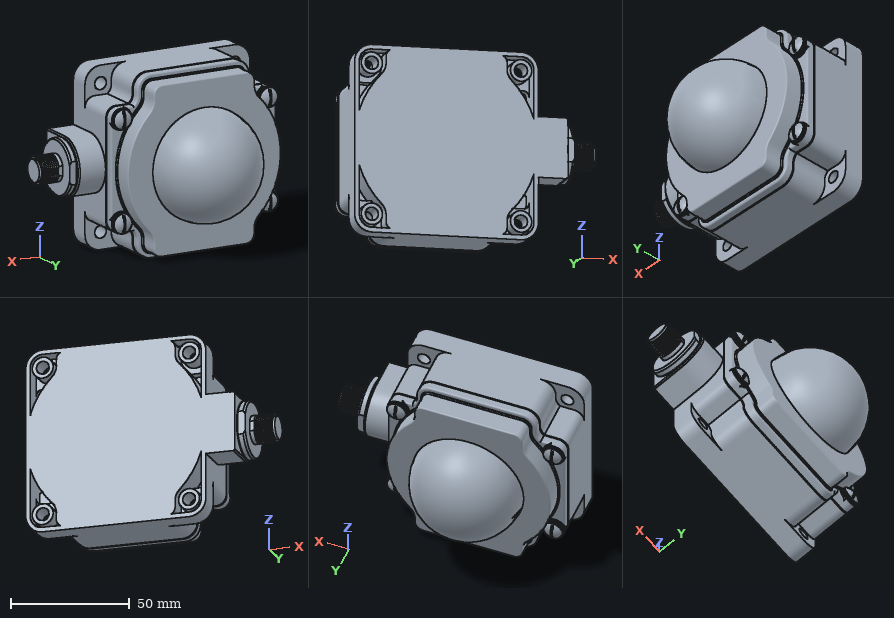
import cadquery as cq
import math

FLANGE_TOP = 10.0
SEAM_LEVEL = 27.9
COVER_TOP = 32.2
PLATE_TOP = 41.5

WIDTH = 80.0
HEIGHT = 80.8
FLANGE_CORNER = 7.5
HOLE_X = WIDTH / 2 - FLANGE_CORNER
HOLE_Z = HOLE_X
HOLE_DIAMETER = 5.6
HOLE_BOSS_DIAMETER = 9.3
HOLE_BOSS_RECESS = 0.2
WALL = 2.0

BLOCK_WIDTH = 54.4
BLOCK_CORNER = 6.8
NOTCH_RADIUS = 5.0
EAR_RADIUS = 4.6
EAR_Z = 22.8
EAR_X = WIDTH / 2 - EAR_RADIUS
COVER_ROUNDING = 0.9
SEAM_WIDTH = 0.3
SEAM_DEPTH = 0.2

PLATE_INSET = 2.8
PLATE_ROUNDING = 0.6
PLATE_FOOT = 0.6
PLATE_FOOT_LIP = 0.1
DEPTH = 66.6
DOME_RADIUS = DEPTH - PLATE_TOP

SCREW_PAD_TOP = COVER_TOP + PLATE_FOOT
SCREW_WASHER_TOP = 33.6
SCREW_RIM_TOP = 34.3
SCREW_STEP = 0.1
SCREW_PAD_RADIUS = EAR_RADIUS + 0.3
SCREW_HEAD_RADIUS = EAR_RADIUS - 2 * SCREW_STEP
SCREW_HEAD_TOP = 36.0
SCREW_SLOT_WIDTH = 0.9
SCREW_SLOT_DEPTH = 1.2

POCKET_DEPTH = FLANGE_TOP - WALL
POCKET_RELIEF = 6.1
POCKET_ARC_RADIUS = math.hypot(HOLE_X, HOLE_Z) - POCKET_RELIEF
POCKET_FLARE_RADIUS = 3.2
EAR_CAVITY_DEPTH = SEAM_LEVEL - WALL
SCREW_COLUMN_START = 12.9

OUTLET_AXIS_Y = 14.4
OUTLET_RADIUS = 13.1
OUTLET_END = 52.9
OUTLET_CHAMFER = 0.6
WASHER_END = OUTLET_END + 0.3
WASHER_RADIUS = 12.2
NUT_END = 56.6
NUT_RADIUS = 12.6
NUT_ACROSS_FLATS = 23.0
NUT_CHAMFER_LENGTH = 1.0
NUT_CHAMFER_HEIGHT = 0.5
THREAD_START = 58.5
THREAD_END = 66.4
THREAD_RADIUS = 6.1
THREAD_ROOT_RADIUS = 5.4
THREAD_TURNS = 8
THREAD_ACROSS_FLATS = 11.5
TIP_RADIUS = 5.1
LENGTH = 107.6
TIP_END = LENGTH - WIDTH / 2

SIGNS = [(sx, sz) for sx in (-1, 1) for sz in (-1, 1)]


def plane_at(y):
    """Workplane facing -Y at level y; its local axes are X and Z."""
    return cq.Workplane("XZ", origin=(0, y, 0))


def polar(x, z, radius, angle):
    """Point at the given radius and angle about a centre."""
    return (x + radius * math.cos(angle), z + radius * math.sin(angle))


def cylinder(x, z, radius, y_start, y_end):
    return plane_at(y_start).center(x, z).circle(radius).extrude(y_start - y_end)


def rounded_block(width, height, radius, y_start, y_end):
    block = plane_at(y_start).rect(width, height).extrude(y_start - y_end)
    return block.edges("|Y").fillet(radius)


def lobed_slab(inset, y_start, y_end):
    """Rounded block crossed by a disc, with the four inner corners rounded."""
    half_width = BLOCK_WIDTH / 2 - inset
    disc_radius = WIDTH / 2 - inset
    slab = rounded_block(2 * half_width, HEIGHT - 2 * inset, BLOCK_CORNER - inset, y_start, y_end)
    slab = slab.union(cylinder(0, 0, disc_radius, y_start, y_end))
    corner_z = math.sqrt(disc_radius**2 - half_width**2)
    middle = (y_start + y_end) / 2
    for sx, sz in SIGNS:
        corner = cq.NearestToPointSelector((sx * half_width, middle, sz * corner_z))
        slab = slab.edges("|Y").edges(corner).fillet(NOTCH_RADIUS + inset)
    return slab


def ear_block(inset, y_start, y_end):
    height = 2 * (EAR_Z + EAR_RADIUS - inset)
    return rounded_block(WIDTH - 2 * inset, height, EAR_RADIUS - inset, y_start, y_end)


def body_slab(inset, y_start, y_end):
    return lobed_slab(inset, y_start, y_end).union(ear_block(inset, y_start, y_end))


def make_housing():
    flange = rounded_block(WIDTH, HEIGHT, FLANGE_CORNER, 0, FLANGE_TOP)
    lower = body_slab(0, FLANGE_TOP, SEAM_LEVEL)
    cover = body_slab(0, SEAM_LEVEL, COVER_TOP).faces(">Y").edges().fillet(COVER_ROUNDING)
    return flange.union(lower).union(cover)


def plate_foot():
    """Sloped skirt around the root of the lens plate."""
    foot_top = COVER_TOP + PLATE_FOOT
    skirt = lobed_slab(PLATE_INSET - PLATE_FOOT, COVER_TOP, foot_top)
    return skirt.faces(">Y").edges().chamfer(PLATE_FOOT - PLATE_FOOT_LIP)


def seam_groove():
    seam_end = SEAM_LEVEL + SEAM_WIDTH
    layer = body_slab(0, SEAM_LEVEL, seam_end)
    return layer.cut(body_slab(SEAM_DEPTH, SEAM_LEVEL, seam_end))


def make_lens():
    plate = lobed_slab(PLATE_INSET, COVER_TOP, PLATE_TOP).faces(">Y").edges().fillet(PLATE_ROUNDING)
    dome = cq.Workplane("XY").sphere(DOME_RADIUS).translate((0, PLATE_TOP, 0))
    return plate.union(dome)


def make_screw(x, z):
    """Round pad on a cover ear, carrying a washer and a slotted domed screw head."""
    base = SEAM_LEVEL + SEAM_WIDTH
    washer_radius = SCREW_HEAD_RADIUS + SCREW_STEP
    dome_rise = SCREW_HEAD_TOP - SCREW_RIM_TOP
    sphere_radius = (SCREW_HEAD_RADIUS**2 + dome_rise**2) / (2 * dome_rise)
    dome_half_angle = math.asin(SCREW_HEAD_RADIUS / sphere_radius) / 2
    dome_middle = polar(0, SCREW_HEAD_TOP - sphere_radius, sphere_radius, math.pi / 2 - dome_half_angle)
    screw = (
        cq.Workplane("XY")
        .moveTo(0, base)
        .lineTo(SCREW_PAD_RADIUS, base)
        .lineTo(SCREW_PAD_RADIUS, SCREW_PAD_TOP)
        .lineTo(washer_radius, SCREW_PAD_TOP)
        .lineTo(washer_radius, SCREW_WASHER_TOP)
        .lineTo(SCREW_HEAD_RADIUS, SCREW_WASHER_TOP)
        .lineTo(SCREW_HEAD_RADIUS, SCREW_RIM_TOP)
        .threePointArc(dome_middle, (0, SCREW_HEAD_TOP))
        .close()
        .revolve(360, (0, 0, 0), (0, 1, 0))
    )
    slot = cq.Workplane("XY").box(SCREW_SLOT_WIDTH, 2 * SCREW_SLOT_DEPTH, 2 * EAR_RADIUS)
    return screw.cut(slot.translate((0, SCREW_HEAD_TOP, 0))).translate((x, 0, z))


def corner_pocket():
    """Recess around the mounting hole of the +X +Z corner, and the hollow behind its ear."""
    side = WIDTH / 2 - WALL
    top = HEIGHT / 2 - WALL
    corner = FLANGE_CORNER - WALL
    corner_x = side - corner
    corner_z = top - corner
    relief_x = HOLE_X - POCKET_RELIEF
    tip_z = math.sqrt(POCKET_ARC_RADIUS**2 - side**2)
    flare_drop = POCKET_FLARE_RADIUS * math.sqrt(3) / 2
    relief_end = polar(0, 0, POCKET_ARC_RADIUS, math.pi / 4)
    relief_middle = polar(HOLE_X, HOLE_Z, POCKET_RELIEF, math.pi * 9 / 8)
    tip_angle = math.atan2(tip_z, side)
    arc_middle = polar(0, 0, POCKET_ARC_RADIUS, (math.pi / 4 + tip_angle) / 2)
    outline = (
        plane_at(0)
        .moveTo(side, tip_z)
        .lineTo(side, corner_z)
        .threePointArc(polar(corner_x, corner_z, corner, math.pi / 4), (corner_x, top))
        .lineTo(relief_x - POCKET_FLARE_RADIUS / 2, top)
        .radiusArc((relief_x, top - flare_drop), POCKET_FLARE_RADIUS)
        .lineTo(relief_x, HOLE_Z)
        .threePointArc(relief_middle, relief_end)
        .threePointArc(arc_middle, (side, tip_z))
        .close()
    )
    recess = outline.extrude(-POCKET_DEPTH)
    hollow = ear_block(WALL, 0, EAR_CAVITY_DEPTH)
    quadrant = cq.Workplane("XY").box(WIDTH, HEIGHT, HEIGHT, centered=False)
    column = cylinder(EAR_X, EAR_Z, EAR_RADIUS, SCREW_COLUMN_START, EAR_CAVITY_DEPTH)
    inner = cylinder(0, 0, POCKET_ARC_RADIUS, 0, EAR_CAVITY_DEPTH)
    hollow = hollow.intersect(quadrant).cut(column).cut(inner)
    return recess.union(hollow)


def along_axis(x):
    """Workplane facing +X on the outlet axis; its local axes are Y and Z."""
    return cq.Workplane("YZ", origin=(x, OUTLET_AXIS_Y, 0))


def make_outlet():
    block = cq.Workplane("XY").box(OUTLET_END, OUTLET_AXIS_Y, 2 * OUTLET_RADIUS, centered=(False, False, True))
    barrel = along_axis(0).circle(OUTLET_RADIUS).extrude(OUTLET_END)
    outlet = block.union(barrel)
    return outlet.faces(">X").edges("not <Y").chamfer(OUTLET_CHAMFER)


def make_nut():
    length = NUT_END - WASHER_END
    nut = along_axis(WASHER_END).circle(NUT_RADIUS).extrude(length)
    nut = nut.faces(">X").edges().chamfer(NUT_CHAMFER_LENGTH, NUT_CHAMFER_HEIGHT)
    flats = along_axis(WASHER_END).rect(NUT_ACROSS_FLATS, 2 * NUT_RADIUS).extrude(length)
    washer = along_axis(OUTLET_END).circle(WASHER_RADIUS).extrude(WASHER_END - OUTLET_END)
    return nut.intersect(flats).union(washer)


def make_connector():
    """Threaded plug with two flats and a plain tip; the thread is a row of V grooves."""
    pitch = (THREAD_END - THREAD_START) / THREAD_TURNS
    profile = cq.Workplane("XY").moveTo(NUT_END, 0).lineTo(NUT_END, THREAD_RADIUS)
    profile = profile.lineTo(THREAD_START, THREAD_RADIUS)
    for turn in range(THREAD_TURNS):
        crest = THREAD_START + turn * pitch
        profile = profile.lineTo(crest + pitch / 2, THREAD_ROOT_RADIUS)
        profile = profile.lineTo(crest + pitch, THREAD_RADIUS)
    profile = profile.lineTo(THREAD_END, TIP_RADIUS).lineTo(TIP_END, TIP_RADIUS).lineTo(TIP_END, 0)
    plug = profile.close().revolve(360, (0, 0, 0), (1, 0, 0))
    flats = cq.Workplane("XY").box(3 * TIP_END, THREAD_ACROSS_FLATS, HEIGHT)
    return plug.intersect(flats).translate((0, OUTLET_AXIS_Y, 0))


housing = make_housing().cut(seam_groove()).union(plate_foot()).union(make_lens())
housing = housing.union(make_outlet()).union(make_nut()).union(make_connector())

pocket = corner_pocket()
screw_limits = body_slab(0, SEAM_LEVEL, SCREW_HEAD_TOP)
for sx, sz in SIGNS:
    housing = housing.union(make_screw(sx * EAR_X, sz * EAR_Z).intersect(screw_limits))
    placed_pocket = pocket
    if sx < 0:
        placed_pocket = placed_pocket.mirror("YZ")
    if sz < 0:
        placed_pocket = placed_pocket.mirror("XY")
    housing = housing.cut(placed_pocket)
    hole_x = sx * HOLE_X
    hole_z = sz * HOLE_Z
    housing = housing.union(cylinder(hole_x, hole_z, HOLE_BOSS_DIAMETER / 2, HOLE_BOSS_RECESS, FLANGE_TOP))
    housing = housing.cut(cylinder(hole_x, hole_z, HOLE_DIAMETER / 2, 0, FLANGE_TOP))

result = housing